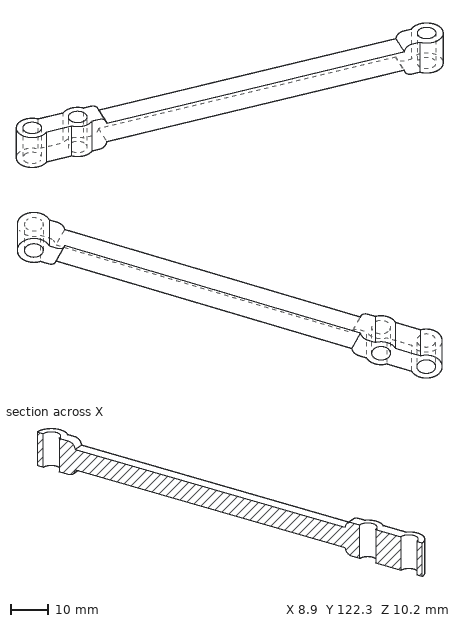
import cadquery as cq
import math

LENGTH = 122.3
HEIGHT = 10.2

BAR_WIDTH = 6.2
BAR_HEIGHT = 6.2

REAR_EYE_DIAMETER = 8.9
FRONT_EYE_DIAMETER = 8.6
HOLE_DIAMETER = 5.0
FRONT_HOLE_SPACING = 13.1

FRONT_END_LENGTH = 24.6
REAR_END_LENGTH = 12.1

STEP_HEIGHT = (HEIGHT - BAR_HEIGHT) / 2
STEP_RADIUS = 2.2
STEP_RUN = math.sqrt(STEP_RADIUS**2 - (STEP_RADIUS - STEP_HEIGHT) ** 2)

FRONT_EYE_Y = FRONT_EYE_DIAMETER / 2
MIDDLE_EYE_Y = FRONT_EYE_Y + FRONT_HOLE_SPACING
REAR_EYE_Y = LENGTH - REAR_EYE_DIAMETER / 2
FRONT_STEP_Y = FRONT_END_LENGTH
REAR_STEP_Y = LENGTH - REAR_END_LENGTH

EYES = [
    (FRONT_EYE_Y, FRONT_EYE_DIAMETER),
    (MIDDLE_EYE_Y, FRONT_EYE_DIAMETER),
    (REAR_EYE_Y, REAR_EYE_DIAMETER),
]


def vertical_cylinder(y, diameter):
    """Full-height cylinder on the centreline, centred on Z = 0."""
    return cq.Workplane("XY").center(0, y).circle(diameter / 2).extrude(HEIGHT / 2, both=True)


def make_arm():
    """Constant-width arm between the outer eye centres, relieved above and below the bar."""
    top = HEIGHT / 2
    bar_top = BAR_HEIGHT / 2
    profile = (
        cq.Workplane("YZ")
        .moveTo(FRONT_EYE_Y, 0)
        .lineTo(FRONT_EYE_Y, top)
        .lineTo(FRONT_STEP_Y - STEP_RUN, top)
        .radiusArc((FRONT_STEP_Y, bar_top), STEP_RADIUS)
        .lineTo(REAR_STEP_Y, bar_top)
        .radiusArc((REAR_STEP_Y + STEP_RUN, top), STEP_RADIUS)
        .lineTo(REAR_EYE_Y, top)
        .lineTo(REAR_EYE_Y, 0)
        .close()
    )
    upper_half = profile.extrude(BAR_WIDTH / 2, both=True)
    return upper_half.union(upper_half.mirror("XY"))


result = make_arm()
for eye_y, eye_diameter in EYES:
    result = result.union(vertical_cylinder(eye_y, eye_diameter))
for eye_y, _ in EYES:
    result = result.cut(vertical_cylinder(eye_y, HOLE_DIAMETER))
result = result.clean()